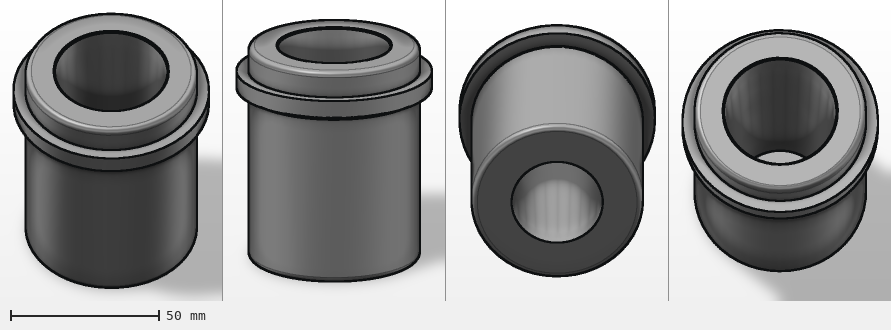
import cadquery as cq

height = 75.0
flange_diameter = 66.0
body_diameter = 58.0
edge_radius = 2.0

flange_bottom = 60.0
flange_thickness = 6.0
groove_width = 1.95
groove_diameter = 56.3
shoulder_chamfer = 0.45

bore_top_diameter = 37.95
bore_bottom_diameter = 30.75
mouth_chamfer = 0.45


def disc(diameter, bottom, thickness):
    """Cylinder about the Z axis, starting at the given height."""
    return cq.Workplane("XY").workplane(offset=bottom).circle(diameter / 2).extrude(thickness)


def make_body():
    """Cylinder with rounded ends, a relief groove with a bevelled lower shoulder, and a flange."""
    body = disc(body_diameter, 0, height).edges().fillet(edge_radius)
    groove_bottom = flange_bottom - groove_width
    body_radius = body_diameter / 2
    groove_radius = groove_diameter / 2
    groove = (
        cq.Workplane("XZ")
        .moveTo(body_radius, groove_bottom)
        .lineTo(body_radius - shoulder_chamfer, groove_bottom + shoulder_chamfer)
        .lineTo(groove_radius, groove_bottom + shoulder_chamfer)
        .lineTo(groove_radius, flange_bottom)
        .lineTo(body_radius, flange_bottom)
        .close()
        .revolve(360, (0, 0, 0), (0, 1, 0))
    )
    return body.cut(groove).union(disc(flange_diameter, flange_bottom, flange_thickness))


def make_bore():
    """Cone through the full height, flaring at the chamfered mouth."""
    top_radius = bore_top_diameter / 2
    return (
        cq.Workplane("XZ")
        .moveTo(0, 0)
        .lineTo(bore_bottom_diameter / 2, 0)
        .lineTo(top_radius, height - mouth_chamfer)
        .lineTo(top_radius + mouth_chamfer, height)
        .lineTo(0, height)
        .close()
        .revolve(360, (0, 0, 0), (0, 1, 0))
    )


result = make_body().cut(make_bore())